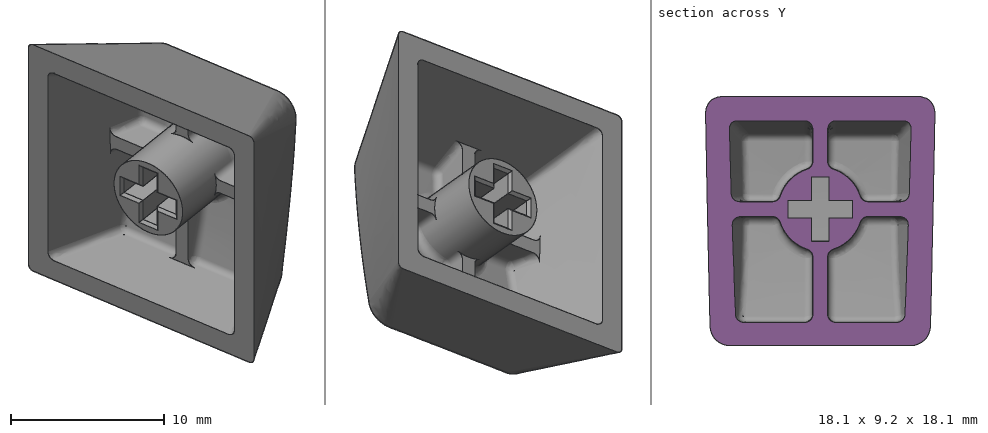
import cadquery as cq
import math


RIM_SIDE = 18.1
CROWN_Y = 9.2
CROWN_RADIUS = 43.44
CROWN_APEX_Z = 5.25
RIM_CORNER = 0.4
TOP_CORNER = 1.85
CROWN_FILLET = 0.5

OUTER_END_LOWER = (7.78, -8.78)
OUTER_END_UPPER = (9.77, 5.4)
OUTER_END_HALF_WIDTH = 5.77

CROWN_THICKNESS = 2.06
CAVITY_RIM_LOWER = (0.0, -7.51)
CAVITY_RIM_UPPER = (0.0, 7.45)
CAVITY_RIM_HALF_WIDTH = 7.48
CAVITY_END_LOWER = (5.97, -7.3)
CAVITY_END_UPPER = (7.6, 4.6)
CAVITY_END_HALF_WIDTH = 4.87
CAVITY_FILLET = 0.5

STEM_DIAMETER = 5.5
STEM_Y = 0.8
RIB_WIDTH = 1.0
RIB_Y = 4.52

EDGE_MARGIN = 0.02

CROSS_LENGTH = 4.16
CROSS_WIDTH = 1.12
CROSS_CHAMFER = 0.2


def section(lower, upper, half_width, corner_radius):
    """Rectangle of the given half width between two (y, z) points, its corners rounded if asked."""
    rise_y = upper[0] - lower[0]
    rise_z = upper[1] - lower[1]
    middle = (0, (lower[0] + upper[0]) / 2, (lower[1] + upper[1]) / 2)
    plane = cq.Plane(origin=middle, xDir=(1, 0, 0), normal=(0, -rise_z, rise_y))
    sketch = cq.Sketch().rect(2 * half_width, math.hypot(rise_y, rise_z))
    if corner_radius:
        sketch = sketch.vertices().fillet(corner_radius)
    return sketch.moved(cq.Location(plane))


def tapered_block(rim, end, rim_corner=0, end_corner=0):
    """Straight-sided block between two sections, each given as (lower, upper, half width)."""
    sections = (section(*rim, rim_corner), section(*end, end_corner))
    return cq.Workplane().placeSketch(*sections).loft(ruled=True)


def below_crown(offset):
    """Everything under the crown surface moved inward by offset."""
    return (
        cq.Workplane("YZ", origin=(-RIM_SIDE, 0, 0))
        .center(CROWN_Y - CROWN_RADIUS, CROWN_APEX_Z)
        .circle(CROWN_RADIUS - offset)
        .extrude(2 * RIM_SIDE)
    )


def outer_shell():
    """Solid cap with a rounded crown edge."""
    half = RIM_SIDE / 2
    rim = ((0, -half), (0, half), half)
    end = (OUTER_END_LOWER, OUTER_END_UPPER, OUTER_END_HALF_WIDTH)
    block = tapered_block(rim, end, RIM_CORNER, TOP_CORNER).intersect(below_crown(0))
    return block.faces(">Y").edges().fillet(CROWN_FILLET)


def stem():
    """Round post, long enough to reach past the cavity floor."""
    return (
        cq.Workplane("XZ", origin=(0, STEM_Y, 0))
        .circle(STEM_DIAMETER / 2)
        .extrude(-CROWN_Y)
    )


def ribs():
    """Two crossing bars, long enough to reach past the cavity walls and floor."""
    depth = CROWN_Y - RIB_Y
    middle_y = RIB_Y + depth / 2
    across = cq.Workplane("XY").box(RIM_SIDE, depth, RIB_WIDTH)
    upright = cq.Workplane("XY").box(RIB_WIDTH, depth, RIM_SIDE)
    return across.union(upright).translate((0, middle_y, 0))


def cavity():
    """Hollow of the cap, with the stem and ribs left standing and its inner edges rounded."""
    rim = (CAVITY_RIM_LOWER, CAVITY_RIM_UPPER, CAVITY_RIM_HALF_WIDTH)
    end = (CAVITY_END_LOWER, CAVITY_END_UPPER, CAVITY_END_HALF_WIDTH)
    hollow = tapered_block(rim, end).intersect(below_crown(CROWN_THICKNESS))
    hollow = hollow.cut(stem()).cut(ribs())
    inner_depth = RIB_Y + EDGE_MARGIN
    inner_edges = hollow.edges().filter(lambda edge: edge.BoundingBox().ymax > inner_depth)
    return inner_edges.fillet(CAVITY_FILLET)


def cross(growth=0):
    """Outline of the socket, with every side moved outward by growth."""
    length = CROSS_LENGTH + 2 * growth
    width = CROSS_WIDTH + 2 * growth
    return cq.Sketch().rect(length, width).rect(width, length).clean()


def cross_socket():
    """Cross-shaped socket down to the cavity floor surface, with a chamfered mouth."""
    mouth = cq.Workplane("XZ", origin=(0, STEM_Y, 0))
    socket = mouth.placeSketch(cross()).extrude(-CROWN_Y).intersect(below_crown(CROWN_THICKNESS))
    inner_end = cross().moved(cq.Location((0, 0, -CROSS_CHAMFER)))
    chamfer = mouth.placeSketch(cross(CROSS_CHAMFER), inner_end).loft(ruled=True)
    return socket.union(chamfer)


result = outer_shell().cut(cavity()).cut(cross_socket())